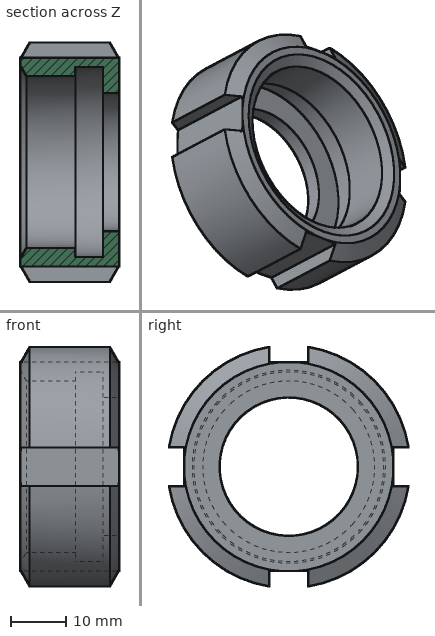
import cadquery as cq
import math

width = 18.0
slot_width = 7.05
slot_floor = 18.95
slot_edge_reach = 21.7
outer_radius = math.hypot(slot_edge_reach, slot_width / 2)
slot_count = 4

end_face_radius = 19.0
bevel_angle = 30
bevel_length = (outer_radius - end_face_radius) * math.tan(math.radians(bevel_angle))

lip_bore_radius = 25.0 / 2
bore_radius = 31.15 / 2
mouth_radius = 35.0 / 2
mouth_depth = (mouth_radius - bore_radius) * math.tan(math.radians(bevel_angle))
lip_thickness = 3.0

groove_radius = 34.4 / 2
groove_width = 5.0


def ring_body():
    """Revolve the half section, drawn as (axial position, radius), about X."""
    half = width / 2
    groove_end = half - lip_thickness
    groove_start = groove_end - groove_width
    section = [
        (-half, mouth_radius),
        (-half, end_face_radius),
        (-half + bevel_length, outer_radius),
        (half - bevel_length, outer_radius),
        (half, end_face_radius),
        (half, lip_bore_radius),
        (groove_end, lip_bore_radius),
        (groove_end, groove_radius),
        (groove_start, groove_radius),
        (groove_start, bore_radius),
        (-half + mouth_depth, bore_radius),
    ]
    return cq.Workplane("XY").polyline(section).close().revolve(360, (0, 0, 0), (1, 0, 0))


def spanner_slot(angle):
    """Cutter for one full-width slot, turned about X from the +Z side."""
    cutter_height = outer_radius
    return (
        cq.Workplane("XY")
        .box(width, slot_width, cutter_height, centered=(True, True, False))
        .translate((0, 0, slot_floor))
        .rotate((0, 0, 0), (1, 0, 0), angle)
    )


result = ring_body()
for index in range(slot_count):
    result = result.cut(spanner_slot(index * 360 / slot_count))